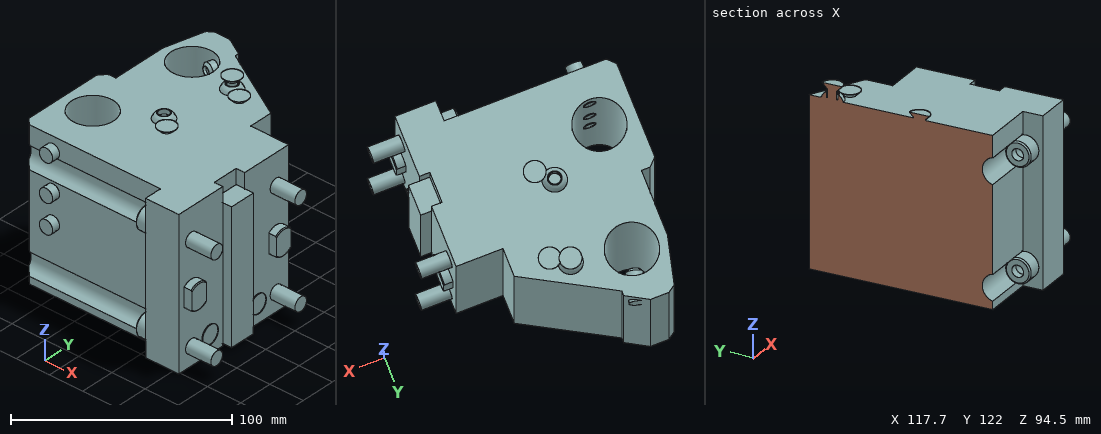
import cadquery as cq
import math

block_height = 87.0
overall_height = 94.5
overall_length = 117.7
overall_width = 122.0
flange_back_x = 82.5
flange_face_x = 102.5
flange_width = 75.4
front_y = 10.2
lug_y = 64.5
corner_chamfer = 3.8
shoulder_x = 79.7
slope_start_y = 89.3
slope_angle = 29.6
step_x = 37.0
step_height = 2.3
nose_x = 17.3
nose_width = 9.0
taper_end_x = 13.8
taper_end_y = 119.5
arm_x = 8.0
taper_start_y = 96.7
slope_end_y = slope_start_y + (shoulder_x - step_x) * math.tan(math.radians(slope_angle))

mount_y = flange_width / 2
mount_z = 40.0
bolt_offset = 29.0
seal_offset = 16.5
bolt_y = [mount_y - bolt_offset, mount_y + bolt_offset]
bolt_z = [mount_z - bolt_offset, mount_z + bolt_offset]

bolt_diameter = 8.0
head_diameter = 13.0
head_height = 8.0
head_chamfer = 0.7
head_socket_diameter = 6.0
head_socket_depth = 4.0
groove_diameter = 13.7
far_bolt_end_x = 117.4
socket_point_ratio = 0.3

bore_diameter = 25.0
near_bore = (17.8, 37.6)
far_bore = (25.5, 97.0)

clamp_diameter = 8.0
clamp_tip_diameter = 6.1
clamp_tip_length = 1.5
clamp_z = [39.8, 57.0, 78.9]
clamp_projection = 4.8
clamp_intrusion = 0.5
tilt_angle = 15
tilt_start = 7.6
tilt_end = 23.3
tilt_tip_diameter = 5.4
tilt_socket_diameter = 4.8
tilt_socket_depth = 1.5

key_width = 15.0
key_bottom_z = 1.3
key_top_z = 78.2
key_seat_x = 97.4
key_face_x = 107.7
pin_diameter = 15.0
pin_flat_width = 10.0
pin_length = 4.6
pin_chamfer = 0.5
seal_diameter = 10.7
seal_projection = 0.5

button_diameter = 11.6
button_top_diameter = 6.7
button_height = 3.2
button_bulge_r = 5.0
button_socket_diameter = 5.7
button_socket_depth = 2.7
plain_button = (46.1, 54.2)
plugged_button = (53.5, 92.5)
plug_diameter = 10.4
plug_neck_diameter = 4.9
plug_rim = 0.2
plug_projection = 2.5
plug_root = 1.2
plug_positions = [(53.3, 47.8), (61.9, 87.8)]


def cylinder_x(x_start, x_end, y, z, diameter):
    """Round bar along +X."""
    return (
        cq.Workplane("YZ", origin=(x_start, y, z))
        .circle(diameter / 2)
        .extrude(x_end - x_start)
    )


def make_socket(opening, direction, diameter, depth):
    """Round driver socket with a conical drill point, to be cut away."""
    point_depth = socket_point_ratio * diameter
    axis = direction.normalized()
    bore = cq.Solid.makeCylinder(diameter / 2, depth, opening, axis)
    point = cq.Solid.makeCone(diameter / 2, 0, point_depth, opening + axis * depth, axis)
    return cq.Workplane(bore).union(cq.Workplane(point))


def make_block():
    """Block with both bores and the two bolt grooves along the front face."""
    outline = [
        (corner_chamfer, front_y),
        (flange_back_x, front_y),
        (flange_back_x, 0),
        (flange_face_x, 0),
        (flange_face_x, flange_width),
        (shoulder_x, flange_width),
        (shoulder_x, slope_start_y),
        (step_x, slope_end_y),
        (step_x, slope_end_y + step_height),
        (nose_x + nose_width, overall_width),
        (nose_x, overall_width),
        (taper_end_x, taper_end_y),
        (arm_x, taper_start_y),
        (arm_x, lug_y),
        (corner_chamfer, lug_y),
        (0, lug_y - corner_chamfer),
        (0, front_y + corner_chamfer),
    ]
    block = cq.Workplane("XY").polyline(outline).close().extrude(block_height)
    bores = (
        cq.Workplane("XY")
        .pushPoints([near_bore, far_bore])
        .circle(bore_diameter / 2)
        .extrude(block_height)
    )
    block = block.cut(bores)
    for z in bolt_z:
        block = block.cut(cylinder_x(0, flange_back_x, bolt_y[0], z, groove_diameter))
    return block


def make_bolt_head(z):
    """Cap head of a front bolt, bearing on the flange shoulder."""
    head = cylinder_x(flange_back_x - head_height, flange_back_x, bolt_y[0], z, head_diameter)
    head = head.faces("<X").chamfer(head_chamfer)
    head_end = cq.Vector(flange_back_x - head_height, bolt_y[0], z)
    socket = make_socket(head_end, cq.Vector(1, 0, 0), head_socket_diameter, head_socket_depth)
    return head.cut(socket)


def box_on_mount_axis(x_start, x_end, z_start, z_end):
    """Bar of key width, centred on the mounting face."""
    return (
        cq.Workplane("XY")
        .box(x_end - x_start, key_width, z_end - z_start, centered=(False, True, False))
        .translate((x_start, mount_y, z_start))
    )


def make_locating_pin(y):
    """Round pin with its two sides flattened."""
    pin = cylinder_x(flange_face_x, flange_face_x + pin_length, y, mount_z, pin_diameter)
    pin = pin.faces(">X").chamfer(pin_chamfer)
    flats = (
        cq.Workplane("XY")
        .box(pin_length, pin_flat_width, pin_diameter, centered=(False, True, True))
        .translate((flange_face_x, y, mount_z))
    )
    return pin.intersect(flats)


def make_clamp_screw(z):
    """Screw along +Y through the front wall, its narrow tip entering the near bore."""
    x, bore_y = near_bore
    start_y = front_y - clamp_projection
    tip_y = bore_y - bore_diameter / 2 + clamp_intrusion
    shank_length = tip_y - clamp_tip_length - start_y
    start = cq.Workplane("XZ", origin=(x, start_y, z))
    shank = start.circle(clamp_diameter / 2).extrude(-shank_length)
    return shank.faces(">Y").workplane().circle(clamp_tip_diameter / 2).extrude(clamp_tip_length)


def make_tilted_screw():
    """Socket set screw on a line through the far bore axis."""
    angle = math.radians(tilt_angle)
    direction = cq.Vector(math.sin(angle), math.cos(angle), 0)
    start = cq.Vector(*far_bore, clamp_z[-1]) + direction * tilt_start
    plane = cq.Plane(origin=start, xDir=(0, 0, 1), normal=direction)
    body = cq.Workplane(plane).circle(clamp_diameter / 2).extrude(tilt_end - tilt_start)
    tip_chamfer = (clamp_diameter - tilt_tip_diameter) / 2
    body = body.faces(cq.selectors.DirectionMinMaxSelector(direction, False)).chamfer(tip_chamfer)
    return body.cut(make_socket(start, direction, tilt_socket_diameter, tilt_socket_depth))


def make_button(position):
    """Domed button head with a round socket, standing on the top face."""
    base_r = button_diameter / 2
    top_r = button_top_diameter / 2
    bulge = (button_bulge_r, button_height / 2)
    dome = (
        cq.Workplane("XZ")
        .lineTo(base_r, 0)
        .threePointArc(bulge, (top_r, button_height))
        .lineTo(0, button_height)
        .close()
        .revolve(360, (0, 0, 0), (0, 1, 0))
    )
    dome = dome.faces(">Z").workplane().hole(button_socket_diameter, button_socket_depth)
    return dome.translate((*position, block_height))


def make_plug(position, rim_z, foot_z):
    """Countersunk plug: thin rim, 45 degree cone and straight neck down to foot_z."""
    rim_r = plug_diameter / 2
    neck_r = plug_neck_diameter / 2
    cone_bottom = rim_z - plug_rim - (rim_r - neck_r)
    return (
        cq.Workplane("XZ")
        .moveTo(0, foot_z)
        .lineTo(neck_r, foot_z)
        .lineTo(neck_r, cone_bottom)
        .lineTo(rim_r, rim_z - plug_rim)
        .lineTo(rim_r, rim_z)
        .lineTo(0, rim_z)
        .close()
        .revolve(360, (0, 0, 0), (0, 1, 0))
        .translate((*position, 0))
    )


result = make_block()

result = result.cut(box_on_mount_axis(key_seat_x, flange_face_x, 0, block_height))
result = result.union(box_on_mount_axis(key_seat_x, key_face_x, key_bottom_z, key_top_z))

for z in bolt_z:
    result = result.union(make_bolt_head(z))
    result = result.union(cylinder_x(flange_face_x, overall_length, bolt_y[0], z, bolt_diameter))
    result = result.union(cylinder_x(flange_face_x, far_bolt_end_x, bolt_y[1], z, bolt_diameter))

for y in bolt_y:
    result = result.union(make_locating_pin(y))

for y in (mount_y - seal_offset, mount_y + seal_offset):
    seal_end_x = flange_face_x + seal_projection
    result = result.union(cylinder_x(flange_face_x, seal_end_x, y, bolt_z[0], seal_diameter))

for z in clamp_z:
    result = result.union(make_clamp_screw(z))
result = result.union(make_tilted_screw())

result = result.union(make_button(plain_button))
result = result.union(make_button(plugged_button))
result = result.union(make_plug(plugged_button, overall_height, block_height))
low_rim_z = block_height + plug_projection
for position in plug_positions:
    result = result.union(make_plug(position, low_rim_z, block_height - plug_root))